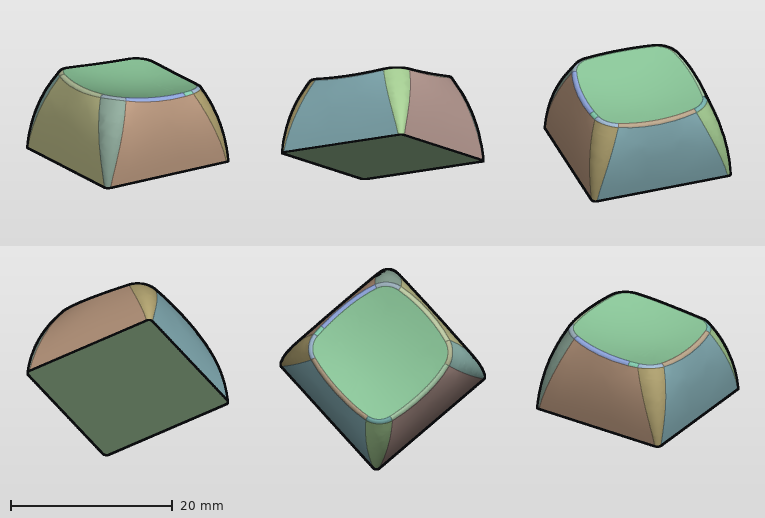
import cadquery as cq
import math

base_width = 18.25
base_corner_radius = 0.55
blank_height = 11.32

top_inset = 2.3
top_shift = 0.27
top_side_half_length = 4.02
top_side_bow = 0.65

dish_radius = 36.5
dish_tilt = math.radians(5.5)
dish_center_height = 8.95
rim_radius = 0.55

inset_power = 2.3
bow_power = 3.0
length_power = 1.2

section_count = 7


def plan_section(height):
    """Closed outline with four bowed sides and four rounded corners at one height."""
    rise = height / blank_height
    half_width = base_width / 2 - top_inset * rise**inset_power
    base_half_length = base_width / 2 - base_corner_radius
    half_length = base_half_length + (top_side_half_length - base_half_length) * rise**length_power
    bow = top_side_bow * rise**bow_power
    shift = top_shift * rise**inset_power
    side_end = half_width - bow

    bow_angle = 2 * math.atan(bow / half_length)
    half_turn = math.pi / 4 - bow_angle
    half_chord = (side_end - half_length) / math.sqrt(2)
    corner_rise = half_chord * math.tan(half_turn / 2)
    corner_middle = (side_end + half_length) / 2 + corner_rise / math.sqrt(2)

    outline = cq.Workplane("XY").workplane(offset=height).moveTo(half_length, -side_end - shift)
    for quarter in range(4):
        turn = quarter * math.pi / 2

        def turned(x, y):
            return (
                x * math.cos(turn) - y * math.sin(turn),
                x * math.sin(turn) + y * math.cos(turn) - shift,
            )

        outline = outline.threePointArc(
            turned(corner_middle, -corner_middle),
            turned(side_end, -half_length),
        )
        if height == 0:
            outline = outline.lineTo(*turned(side_end, half_length))
        else:
            outline = outline.threePointArc(turned(half_width, 0), turned(side_end, half_length))
    return outline.wire().val()


sections = [plan_section(blank_height * i / (section_count - 1)) for i in range(section_count)]
blank = cq.Workplane(obj=cq.Solid.makeLoft(sections))

dish = cq.Workplane("XY").sphere(dish_radius).translate(
    (
        0,
        dish_radius * math.sin(dish_tilt),
        dish_center_height + dish_radius * math.cos(dish_tilt),
    )
)
dished = blank.cut(dish)
result = dished.faces("%SPHERE").edges().fillet(rim_radius)